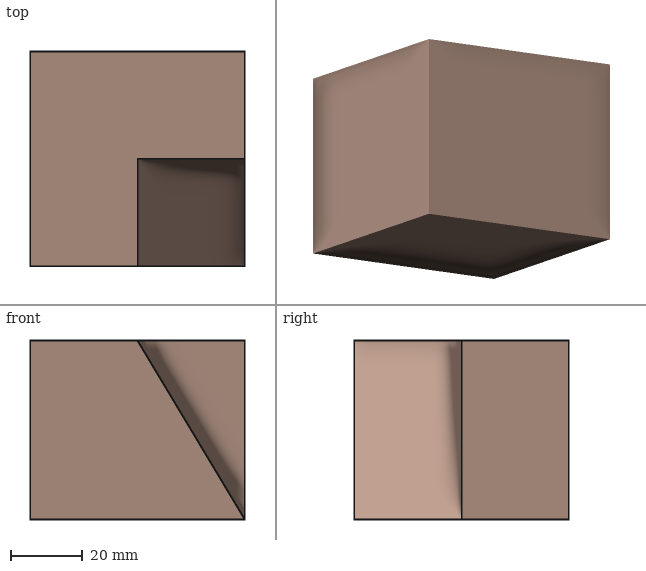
import cadquery as cq

length = 60.0
width = 60.0
height = 50.0

cut_length = length / 2
cut_width = width / 2


def make_block():
    """Rectangular block with its lowest corner at the origin."""
    return cq.Workplane("XY").box(length, width, height, centered=False)


def make_sloped_cut():
    """Triangular wedge whose lower face slopes down to the bottom right edge."""
    return (
        cq.Workplane("XZ")
        .moveTo(length - cut_length, height)
        .lineTo(length, height)
        .lineTo(length, 0)
        .close()
        .extrude(-cut_width)
    )


result = make_block().cut(make_sloped_cut())